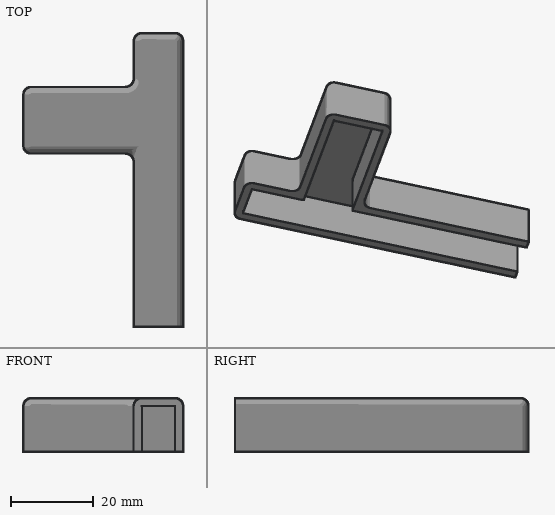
import cadquery as cq

length = 71.15
width = 38.8
height = 13.0

bar_width = 12.0
arm_width = 16.2
arm_setback = 13.0
wall = 2.0
edge_radius = 2.0

bar_left = width - bar_width
arm_back = length - arm_setback
arm_front = arm_back - arm_width


def block(x_min, x_max, y_min, y_max, top):
    """Box standing on Z = 0 between the given limits."""
    return cq.Workplane("XY").box(
        x_max - x_min, y_max - y_min, top, centered=False
    ).translate((x_min, y_min, 0))


def vertical_edge(x, y):
    """Selector for the vertical edge nearest to the given plan position."""
    return cq.selectors.NearestToPointSelector((x, y, height / 2))


def outer_body():
    """T-shaped block with rounded outer edges."""
    bar = block(bar_left, width, 0, length, height)
    arm = block(0, width, arm_front, arm_back, height)
    body = bar.union(arm).clean()

    corners = [
        (0, arm_front),
        (0, arm_back),
        (bar_left, arm_back),
        (bar_left, length),
        (width, length),
    ]
    for x, y in corners:
        body = body.edges("|Z").edges(vertical_edge(x, y)).fillet(edge_radius)

    open_end = body.faces("<Y").edges(">Z")
    rim = body.faces(">Z").edges().filter(
        lambda edge: not edge.isSame(open_end.val())
    )
    body = body.newObject(rim.vals()).fillet(edge_radius)

    return body.edges("|Z").edges(vertical_edge(bar_left, arm_front)).fillet(edge_radius)


def cavity():
    """T-shaped hollow, open below and at the front end of the bar."""
    roof = height - wall
    bar = block(bar_left + wall, width - wall, 0, length - wall, roof)
    arm = block(wall, width - wall, arm_front + wall, arm_back - wall, roof)
    return bar.union(arm)


result = outer_body().cut(cavity())